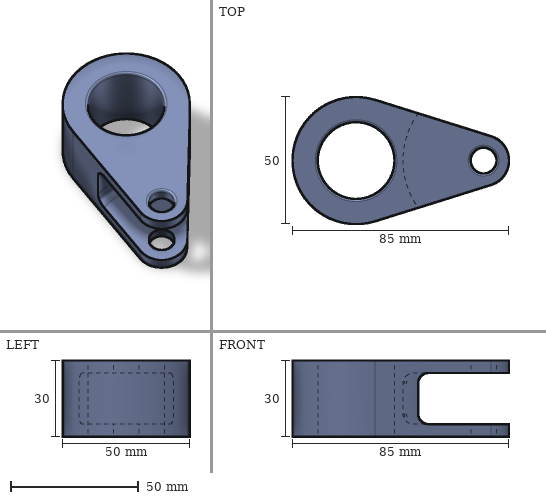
import cadquery as cq
import math

large_radius = 25.0
length = 85.0
small_radius = 10.0
center_distance = length - large_radius - small_radius
height = 30.0
bore_diameter = 30.0
pin_diameter = 10.0
edge_round = 1.0
lug_thickness = 5.0
slot_radius = 31.6
slot_corner_radius = 4.0


def tangent_body():
    """Two round ends joined by their common outer tangent lines."""
    tangent_cos = (large_radius - small_radius) / center_distance
    tangent_sin = math.sqrt(1 - tangent_cos**2)
    large_x = large_radius * tangent_cos
    large_y = large_radius * tangent_sin
    small_x = center_distance + small_radius * tangent_cos
    small_y = small_radius * tangent_sin
    return (
        cq.Workplane("XY")
        .moveTo(large_x, large_y)
        .threePointArc((-large_radius, 0), (large_x, -large_y))
        .lineTo(small_x, -small_y)
        .threePointArc((center_distance + small_radius, 0), (small_x, small_y))
        .close()
        .extrude(height)
    )


def rounded_hole(x, diameter):
    """Through-hole cutter whose two rims flare out in a convex round."""
    radius = diameter / 2
    rim_radius = radius + edge_round
    mid_radius = rim_radius - edge_round * math.sin(math.pi / 4)
    mid_depth = edge_round * (1 - math.cos(math.pi / 4))
    return (
        cq.Workplane("XZ")
        .lineTo(rim_radius, 0)
        .threePointArc((mid_radius, mid_depth), (radius, edge_round))
        .lineTo(radius, height - edge_round)
        .threePointArc((mid_radius, height - mid_depth), (rim_radius, height))
        .lineTo(0, height)
        .close()
        .revolve(360, (0, 0, 0), (0, 1, 0))
        .translate((x, 0, 0))
    )


def fork_slot():
    """Round slot swept about the pin axis, with rounded inner corners."""
    slot_height = height - 2 * lug_thickness
    return (
        cq.Workplane("XY")
        .circle(slot_radius)
        .extrude(slot_height)
        .faces("<Z or >Z")
        .edges()
        .fillet(slot_corner_radius)
        .translate((center_distance, 0, lug_thickness))
    )


result = (
    tangent_body()
    .cut(fork_slot())
    .cut(rounded_hole(0, bore_diameter))
    .cut(rounded_hole(center_distance, pin_diameter))
)